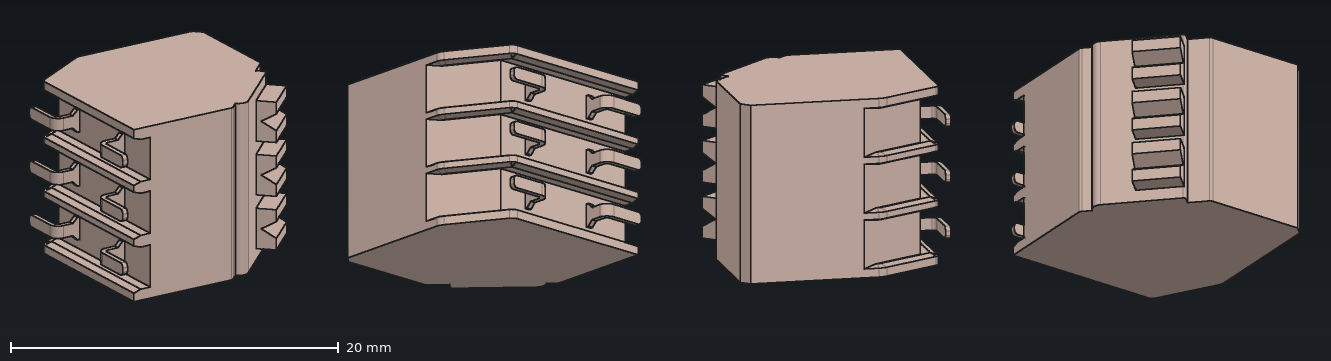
import cadquery as cq
import math


pole_count = 3
pole_pitch = 3.5
height = 11.2
window_height = 3.07
middle_z = height / 2
pole_centres = [middle_z + (i - (pole_count - 1) / 2) * pole_pitch for i in range(pole_count)]

width = 12.7
depth = 12.92
slant_x = 2.4
slant_y = 4.08
slant_side_radius = 1.0
slant_front_radius = 0.5
back_chamfer = 0.53
diagonal_cut = 5.75
diagonal_radius = 0.28

strip_start = -2.61
strip_end = 3.29
strip_thickness = 0.68
strip_end_radius = 0.62
strip_start_radius = 0.18

button_start = -2.53
button_length = 3.0
button_rise = 1.27
button_height = 2.63
groove_width = 1.09
groove_angle = 60.0

recess_depth = 1.19
bevel_inset = 0.5
bevel_height = 0.17
cut_margin = 0.14

pin_thickness = 0.35
pin_drop = 0.61
pin_width = 0.8
pin_root_width = 1.48
pin_shoulder_y = 1.02
pin_root_embed = 0.41
foot_tip_radius = 0.26
left_foot_x = 1.87
left_pin_x = 4.77
pin_mirror_x = 7.13


def front_corner_block(back_y, right_x, thickness, taper=0):
    """Plate with the slanted front left corner, optionally tapering inward."""
    side_corner = cq.selectors.NearestToPointSelector((0, slant_y, 0))
    front_corner = cq.selectors.NearestToPointSelector((slant_x, 0, 0))
    base = (
        cq.Sketch()
        .polygon([(0, back_y), (0, slant_y), (slant_x, 0), (right_x, 0), (right_x, back_y), (0, back_y)])
        .vertices(side_corner)
        .fillet(slant_side_radius)
        .reset()
        .vertices(front_corner)
        .fillet(slant_front_radius)
        .reset()
    )
    return cq.Workplane("XY").placeSketch(base).extrude(thickness, taper=taper)


def diagonal_plane(z):
    """Plane on the diagonal face: local X runs along it, local Y points out of it."""
    middle = (width - diagonal_cut / 2, depth - diagonal_cut / 2, z)
    return cq.Workplane(cq.Plane(origin=middle, xDir=(1, -1, 0), normal=(0, 0, 1)))


def housing():
    block = front_corner_block(depth, width, height)
    block = block.edges("|Z and <X and >Y").chamfer(back_chamfer)
    block = block.edges("|Z and >X and >Y").chamfer(diagonal_cut)
    cut_ends = [(width - diagonal_cut, depth), (width, depth - diagonal_cut)]
    for end_x, end_y in cut_ends:
        end_edge = cq.selectors.NearestToPointSelector((end_x, end_y, middle_z))
        block = block.edges(end_edge).fillet(diagonal_radius)
    strip_length = strip_end - strip_start
    strip = (
        diagonal_plane(0)
        .moveTo(strip_start, -strip_thickness)
        .rect(strip_length, 2 * strip_thickness, centered=False)
        .extrude(height)
    )
    strip = strip.edges("|Z and >X").fillet(strip_end_radius)
    strip = strip.edges("|Z and >Y").fillet(strip_start_radius)
    return block.union(strip)


def window(z):
    """Space between two plates, with bevelled plate edges."""
    space = (
        cq.Workplane("XY", origin=(0, 0, z - window_height / 2))
        .polyline([
            (0, slant_y + recess_depth), (slant_x, recess_depth), (width, recess_depth),
            (width, -cut_margin), (-cut_margin, -cut_margin), (-cut_margin, slant_y + recess_depth),
        ])
        .close()
        .extrude(window_height)
    )
    taper = math.degrees(math.atan(bevel_inset / bevel_height))
    bevel = front_corner_block(2 * depth, 2 * width, bevel_height, taper)
    bottom_bevel = bevel.translate((0, 0, z - window_height / 2))
    top_bevel = bevel.mirror("XY").translate((0, 0, z + window_height / 2))
    return space.cut(bottom_bevel).cut(top_bevel)


def button(z):
    top = strip_thickness + button_rise
    block = (
        diagonal_plane(z - button_height / 2)
        .moveTo(button_start, 0)
        .rect(button_length, top, centered=False)
        .extrude(button_height)
    )
    groove_depth = groove_width / 2 / math.tan(math.radians(groove_angle / 2))
    groove_plane = diagonal_plane(z).transformed(
        rotate=(0, 90, 0), offset=(button_start, top, 0)
    )
    groove = (
        groove_plane
        .polyline([(-groove_width / 2, 0), (groove_width / 2, 0), (0, -groove_depth)])
        .close()
        .extrude(button_length)
    )
    return block.cut(groove)


def left_pin(z):
    """Bent sheet pin: wide root, narrow stem, quarter bend and a foot with round corners."""
    outer = pin_drop
    inner = pin_drop - pin_thickness
    bend_x = left_pin_x - outer
    root_y = recess_depth + pin_root_embed
    diagonal = math.sqrt(0.5)
    strip = (
        cq.Workplane("XY", origin=(0, 0, z - pin_root_width / 2))
        .moveTo(left_pin_x, root_y)
        .lineTo(left_pin_x, 0)
        .threePointArc((bend_x + outer * diagonal, -outer * diagonal), (bend_x, -outer))
        .lineTo(left_foot_x, -outer)
        .lineTo(left_foot_x, -inner)
        .lineTo(bend_x, -inner)
        .threePointArc((bend_x + inner * diagonal, -inner * diagonal), (bend_x + inner, 0))
        .lineTo(bend_x + inner, root_y)
        .close()
        .extrude(pin_root_width)
    )
    half = pin_width / 2
    half_root = pin_root_width / 2
    neck_y = pin_shoulder_y - (half_root - half)
    across = (
        cq.Workplane("YZ", origin=(0, 0, z))
        .polyline([
            (root_y, half_root), (pin_shoulder_y, half_root), (neck_y, half), (-outer, half),
            (-outer, -half), (neck_y, -half), (pin_shoulder_y, -half_root), (root_y, -half_root),
        ])
        .close()
        .extrude(width)
    )
    return strip.intersect(across).edges("|Y and <X").fillet(foot_tip_radius)


result = housing()
for pole_z in pole_centres:
    result = result.cut(window(pole_z))
for pole_z in pole_centres:
    pin = left_pin(pole_z)
    mirrored_pin = pin.mirror("YZ", (pin_mirror_x, 0, 0))
    result = result.union(pin).union(mirrored_pin).union(button(pole_z))